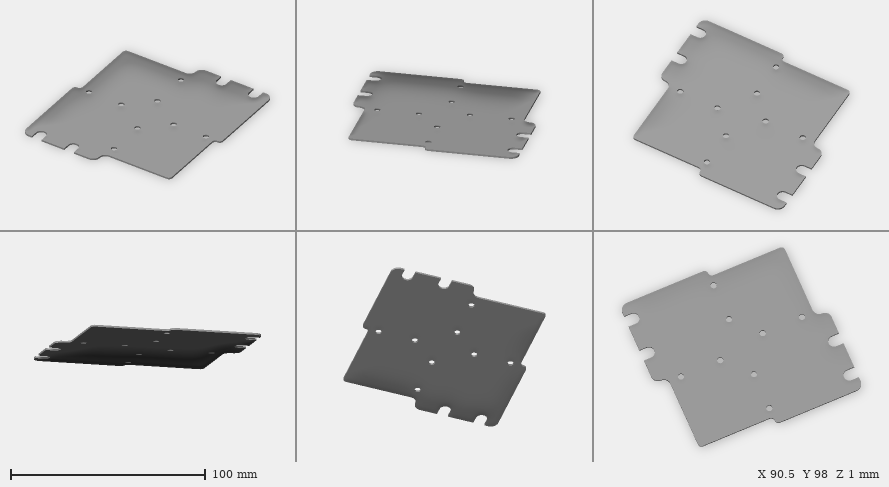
import cadquery as cq

plate_width = 90.5
plate_length = 98
thickness = 1.0

body_edge_x = 41.2
body_end_y = 41.5
tab_corner_radius = 4.1
body_corner_radius = 2.0

slot_centers_x = (16.2, 36.1)
slot_width = 6.0
slot_depth = 7.1

hole_diameter = 3.2
column_x = -2.4
column_holes_y = (12.9, 35.0)

half_width = plate_width / 2
half_length = plate_length / 2
step_fill = 0.98
side_step_radius = (half_width - body_edge_x) / 2 * step_fill
end_step_radius = (half_length - body_end_y) / 2 * step_fill


def with_half_turn(points):
    """Add the copy of each point turned 180 degrees about Z."""
    return points + [(-x, -y) for x, y in points]


def make_plate():
    """Extrude the stepped outline with sharp corners, then round every corner."""
    upper_half = [
        (half_width, 0),
        (half_width, half_length),
        (0, half_length),
        (0, body_end_y),
        (-body_edge_x, body_end_y),
        (-body_edge_x, 0),
    ]
    plate = cq.Workplane("XY").polyline(with_half_turn(upper_half)).close().extrude(thickness)
    corner_radii = [
        side_step_radius,
        tab_corner_radius,
        end_step_radius,
        end_step_radius,
        body_corner_radius,
        side_step_radius,
    ]
    for corner, radius in zip(upper_half, corner_radii):
        for x, y in with_half_turn([corner]):
            edge = cq.selectors.NearestToPointSelector((x, y, thickness / 2))
            plate = plate.edges("|Z").edges(edge).fillet(radius)
    return plate


def cut_slots(plate):
    """Cut the round-bottomed slots that open through both tab ends."""
    slot_centers = with_half_turn([(x, half_length) for x in slot_centers_x])
    cutters = (
        cq.Workplane("XY")
        .pushPoints(slot_centers)
        .slot2D(2 * slot_depth, slot_width, 90)
        .extrude(thickness)
    )
    return plate.cut(cutters)


def cut_holes(plate):
    """Drill the row of holes on the X axis and the two offset columns."""
    row = [(x, 0) for x in slot_centers_x]
    column = [(column_x, y) for y in column_holes_y]
    holes = (
        cq.Workplane("XY")
        .pushPoints(with_half_turn(row + column))
        .circle(hole_diameter / 2)
        .extrude(thickness)
    )
    return plate.cut(holes)


result = cut_holes(cut_slots(make_plate()))